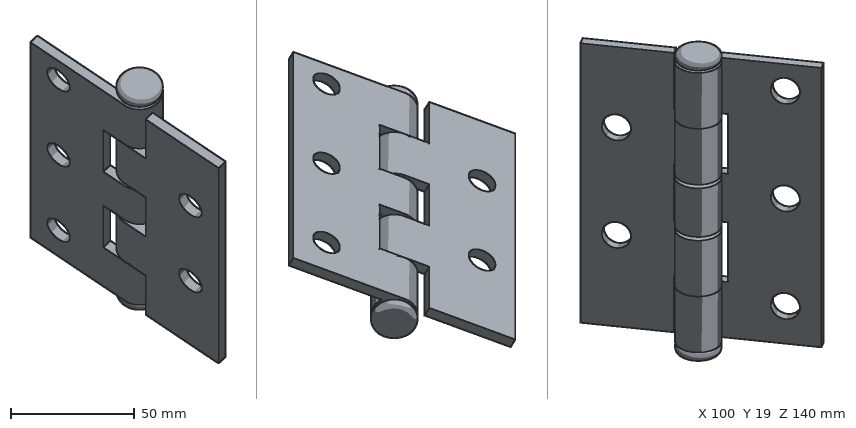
import cadquery as cq

total_height = 140.0
hinge_width = 100.0
barrel_diameter = 19.0
pin_diameter = 10.1
head_height = 5.0
leaf_thickness = 4.5
clearance = 1.7
knuckle_count = 5
screw_hole_diameter = 12.0
screw_hole_offset = 35.0
screw_hole_pitch = 50.0
screw_hole_rise = 2.5

barrel_radius = barrel_diameter / 2
leaf_height = total_height - 2 * head_height
leaf_reach = hinge_width / 2
leaf_inner_edge = barrel_radius + clearance
knuckle_length = leaf_height / knuckle_count
middle_length = knuckle_length - 2 * clearance

wide_leaf_knuckles = [
    (-2 * knuckle_length, knuckle_length),
    (0, middle_length),
    (2 * knuckle_length, knuckle_length),
]
narrow_leaf_knuckles = [
    (-knuckle_length, knuckle_length),
    (knuckle_length, knuckle_length),
]

wide_leaf_holes = [screw_hole_rise + step * screw_hole_pitch for step in (-1, 0, 1)]
narrow_leaf_holes = [screw_hole_rise + step * screw_hole_pitch for step in (-0.5, 0.5)]


def plate(start_x, end_x, center_z, height):
    """Flat plate whose front face is tangent to the barrel."""
    return (
        cq.Workplane("XY")
        .box(end_x - start_x, leaf_thickness, height, centered=(False, False, True))
        .translate((start_x, -barrel_radius, center_z))
    )


def cylinder(diameter, center_z, length):
    """Cylinder on the pin axis."""
    return (
        cq.Workplane("XY")
        .workplane(offset=center_z - length / 2)
        .circle(diameter / 2)
        .extrude(length)
    )


def make_right_leaf(knuckles, hole_heights):
    """Leaf on the +X side, with knuckles, pin bore and screw holes."""
    leaf = plate(leaf_inner_edge, leaf_reach, 0, leaf_height)
    for center_z, length in knuckles:
        leaf = leaf.union(plate(0, leaf_inner_edge, center_z, length))
        leaf = leaf.union(cylinder(barrel_diameter, center_z, length))
    leaf = leaf.cut(cylinder(pin_diameter, 0, leaf_height))
    screw_holes = (
        cq.Workplane("XZ")
        .pushPoints([(screw_hole_offset, z) for z in hole_heights])
        .circle(screw_hole_diameter / 2)
        .extrude(barrel_diameter, both=True)
    )
    return leaf.cut(screw_holes)


def make_pin():
    """Pin shaft with a disc head at each end, each head with a fully rounded rim."""
    rim_radius = head_height / 2
    flat_radius = barrel_radius - rim_radius
    pin = cylinder(pin_diameter, 0, leaf_height)
    for bottom_z in (-total_height / 2, leaf_height / 2):
        head = (
            cq.Workplane("XZ")
            .moveTo(0, bottom_z)
            .lineTo(flat_radius, bottom_z)
            .threePointArc(
                (barrel_radius, bottom_z + rim_radius),
                (flat_radius, bottom_z + head_height),
            )
            .lineTo(0, bottom_z + head_height)
            .close()
            .revolve(360, (0, 0), (0, 1))
        )
        pin = pin.union(head)
    return pin


narrow_leaf = make_right_leaf(narrow_leaf_knuckles, narrow_leaf_holes)
wide_leaf = make_right_leaf(wide_leaf_knuckles, wide_leaf_holes).mirror("YZ")
pin = make_pin()

result = cq.Compound.makeCompound([
    wide_leaf.solids().val(),
    narrow_leaf.solids().val(),
    pin.solids().val(),
])